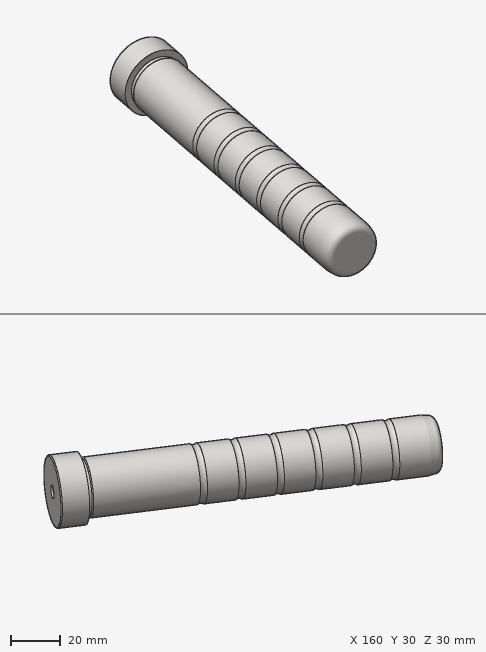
import cadquery as cq
import math

length = 160.0
head_radius = 30.0 / 2
head_length = 11.8
head_chamfer = 0.5
shaft_radius = 25.0 / 2

neck_radius = shaft_radius - 0.5
neck_end = 14.0
neck_ramp = 0.5

groove_count = 6
first_groove_x = 60.0
groove_pitch = 16.0
groove_width = 2.9
groove_depth = 0.5

taper_start = length - 5.5
round_start = length - 2.7
taper_drop = 0.5
round_drop = 2.5

hole_radius = 2.0
hole_depth = 6.4
countersink_radius = 2.7
countersink_depth = 0.8
drill_point_angle = 118.0


def make_pin():
    """Revolve the half profile of head, neck, grooved shaft and tip."""
    profile = (
        cq.Workplane("XY")
        .moveTo(0, 0)
        .lineTo(0, head_radius - head_chamfer)
        .lineTo(head_chamfer, head_radius)
        .lineTo(head_length, head_radius)
        .lineTo(head_length, neck_radius)
        .lineTo(neck_end - neck_ramp, neck_radius)
        .lineTo(neck_end, shaft_radius)
    )
    for index in range(groove_count):
        center_x = first_groove_x + index * groove_pitch
        profile = profile.lineTo(center_x - groove_width / 2, shaft_radius).threePointArc(
            (center_x, shaft_radius - groove_depth),
            (center_x + groove_width / 2, shaft_radius),
        )

    round_top = shaft_radius - taper_drop
    round_length = length - round_start
    profile = (
        profile.lineTo(taper_start, shaft_radius)
        .lineTo(round_start, round_top)
        .threePointArc(
            (
                round_start + round_length * math.sin(math.pi / 4),
                round_top - round_drop * (1 - math.cos(math.pi / 4)),
            ),
            (length, round_top - round_drop),
        )
        .lineTo(length, 0)
        .close()
    )
    return profile.revolve(360, (0, 0, 0), (1, 0, 0))


def make_center_hole():
    """Countersunk blind hole with a conical drill point."""
    point_length = hole_radius / math.tan(math.radians(drill_point_angle / 2))
    return (
        cq.Workplane("XY")
        .moveTo(0, 0)
        .lineTo(0, countersink_radius)
        .lineTo(countersink_depth, hole_radius)
        .lineTo(hole_depth, hole_radius)
        .lineTo(hole_depth + point_length, 0)
        .close()
        .revolve(360, (0, 0, 0), (1, 0, 0))
    )


result = make_pin().cut(make_center_hole())